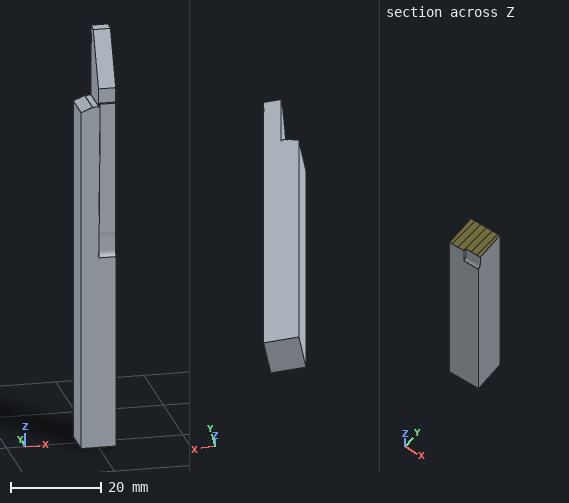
import cadquery as cq
import math

width = 8.0
depth = 8.2
height = 96.5

shoulder_z = 80.1
shoulder_drop = 1.1
shoulder_flat_start = 2.6

blade_left = 4.1
blade_setback = 0.5
tip_depth = 2.3
tip_drop = 0.3
taper_start_z = 84.1

hollow_bottom_z = 92.2
hollow_top_z = 94.8
hollow_depth = 0.2

relief_setback = 0.6
relief_top_z = 80.5
relief_step_height = 0.3
relief_wall_lean = 0.3
groove_setback = 0.7
groove_bottom_z = 44.6
groove_arc_height = 1.35
groove_floor_end_z = 49.0
groove_blend_height = 1.2


def make_shank():
    return (
        cq.Workplane("XZ")
        .polyline([
            (0, 0),
            (width, 0),
            (width, shoulder_z),
            (shoulder_flat_start, shoulder_z),
            (0, shoulder_z - shoulder_drop),
        ])
        .close()
        .extrude(-depth)
    )


def make_blade():
    hollow_middle_z = (hollow_bottom_z + hollow_top_z) / 2
    return (
        cq.Workplane("YZ", origin=(blade_left, 0, 0))
        .moveTo(depth, 0)
        .lineTo(depth, hollow_bottom_z)
        .threePointArc((depth - hollow_depth, hollow_middle_z), (depth, hollow_top_z))
        .lineTo(depth, height)
        .lineTo(depth - tip_depth, height - tip_drop)
        .lineTo(blade_setback, taper_start_z)
        .lineTo(blade_setback, 0)
        .close()
        .extrude(width - blade_left)
    )


def make_relief_cut():
    """Side profile of the relief, trimmed by a wall that leans toward the blade."""
    floor_start_z = groove_bottom_z + groove_arc_height
    blend_top_z = groove_floor_end_z + groove_blend_height
    step_top_z = relief_top_z + relief_step_height
    arc_radius = (groove_arc_height**2 + groove_setback**2) / (2 * groove_setback)
    half_sweep = math.atan2(groove_setback, groove_arc_height)
    arc_middle_y = groove_setback - arc_radius * (1 - math.cos(half_sweep))
    arc_middle_z = floor_start_z - arc_radius * math.sin(half_sweep)
    relief = (
        cq.Workplane("YZ", origin=(blade_left, 0, 0))
        .moveTo(groove_setback, floor_start_z)
        .lineTo(groove_setback, groove_floor_end_z)
        .tangentArcPoint((relief_setback, blend_top_z), relative=False)
        .lineTo(relief_setback, relief_top_z)
        .lineTo(blade_setback, step_top_z)
        .lineTo(0, step_top_z)
        .lineTo(0, groove_bottom_z)
        .threePointArc((arc_middle_y, arc_middle_z), (groove_setback, floor_start_z))
        .close()
        .extrude(width - blade_left)
    )
    leaning_wall = (
        cq.Workplane("XZ")
        .polyline([
            (blade_left, groove_bottom_z),
            (width, groove_bottom_z),
            (width, step_top_z),
            (blade_left + relief_wall_lean, step_top_z),
        ])
        .close()
        .extrude(-depth)
    )
    return relief.intersect(leaning_wall)


result = make_shank().union(make_blade()).cut(make_relief_cut())